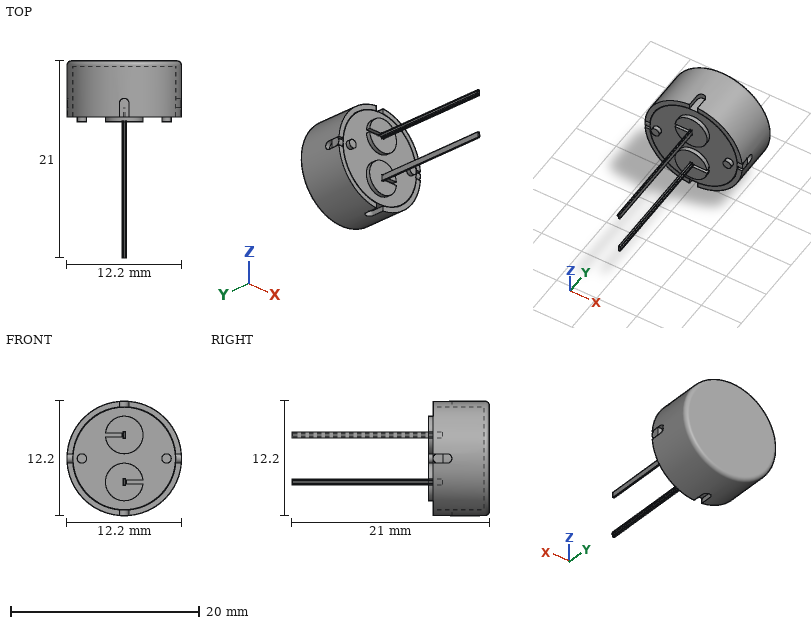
import cadquery as cq


can_radius = 6.1
can_length = 6.0
can_wall = 0.6
can_edge_radius = 0.5
can_bore_radius = can_radius - can_wall

slot_width = 1.0
slot_length = 2.0
slot_angles = (0, 90, 180, 270)

base_gap = 0.05
base_radius = can_bore_radius - base_gap
base_depth = can_length - can_wall

lug_length = 1.05
lug_angles = (0, 180)

foot_height = 0.5
peg_radius = 0.5
peg_offset = 4.5
pad_radius = 2.0
pad_groove_width = 0.4

pin_offset = 2.5
pin_thickness = 0.2
pin_width = 0.65
pin_length = 15.0
pin_embed = 1.0
pin_clearance = 0.05
rib_height = 0.13
rib_root_width = 0.38
rib_tip_width = 0.25
rib_end_chamfer = 0.1

pins_layout = ((pin_offset, -1), (-pin_offset, 1))


def disc(radius, y_start, y_end, x=0, z=0):
    """Cylinder along Y between two Y positions, with its seam at the top."""
    axis_up = cq.Plane(origin=(x, y_start, z), xDir=(0, 0, 1), normal=(0, 1, 0))
    return cq.Workplane(axis_up).circle(radius).extrude(y_end - y_start)


def box(x_range, y_range, z_range):
    """Box between two limits on each axis."""
    size = [high - low for low, high in (x_range, y_range, z_range)]
    corner = (x_range[0], y_range[0], z_range[0])
    return cq.Workplane("XY").box(*size, centered=False).translate(corner)


def around_axis(shape, angle):
    """Turn a shape about the capsule axis."""
    return shape.rotate((0, 0, 0), (0, 1, 0), angle)


def arch_bar(open_y, round_center_y, tip_y):
    """Bar from the axis to past the can on the +X side: square at one end, round at the other."""
    half_width = slot_width / 2
    return (
        cq.Workplane("YZ")
        .moveTo(open_y, -half_width)
        .lineTo(round_center_y, -half_width)
        .threePointArc((tip_y, 0), (round_center_y, half_width))
        .lineTo(open_y, half_width)
        .close()
        .extrude(2 * can_radius)
    )


def make_can():
    can = disc(can_radius, 0, can_length).faces(">Y").edges().fillet(can_edge_radius)
    can = can.cut(disc(can_bore_radius, 0, base_depth))
    slot = arch_bar(0, slot_length - slot_width / 2, slot_length)
    for angle in slot_angles:
        can = can.cut(around_axis(slot, angle))
    return can


def make_lug():
    """Lug on the +X side with a round end at the face, flush with the outside of the can."""
    bar = arch_bar(lug_length, slot_width / 2, 0)
    ring = disc(can_radius, 0, lug_length).cut(disc(base_radius, 0, lug_length))
    return bar.intersect(ring)


def make_pad(z, side):
    """Round foot with a groove from its pin to its rim."""
    pad = disc(pad_radius, -foot_height, 0, z=z)
    groove_x = sorted((0, side * pad_radius))
    half_groove = pad_groove_width / 2
    groove = box(groove_x, (-foot_height, 0), (z - half_groove, z + half_groove))
    return pad.cut(groove)


def make_pin_hole(z):
    """Hole that is loose around the pin through the pad and ends at the base face."""
    half_x = pin_thickness / 2 + pin_clearance
    half_z = pin_width / 2 + pin_clearance
    return box((-half_x, half_x), (-foot_height, 0), (z - half_z, z + half_z))


def make_pin(z, side):
    """Flat pin with a tapered rib along one side, sunk into the base."""
    half_x = pin_thickness / 2
    half_z = pin_width / 2
    blade = box((-half_x, half_x), (-pin_length, pin_embed), (z - half_z, z + half_z))
    root_x = side * half_x
    tip_x = side * (half_x + rib_height)
    rib = (
        cq.Workplane("XZ")
        .polyline([
            (root_x, z - rib_root_width / 2),
            (tip_x, z - rib_tip_width / 2),
            (tip_x, z + rib_tip_width / 2),
            (root_x, z + rib_root_width / 2),
        ])
        .close()
        .extrude(pin_length)
    )
    rib = rib.faces("<Y").edges("not |Z").chamfer(rib_end_chamfer)
    return blade.union(rib)


def make_base(pins):
    base = disc(base_radius, 0, base_depth)
    for angle in lug_angles:
        base = base.union(around_axis(make_lug(), angle))
    for x in (-peg_offset, peg_offset):
        base = base.union(disc(peg_radius, -foot_height, 0, x=x))
    for z, side in pins_layout:
        base = base.union(make_pad(z, side)).cut(make_pin_hole(z))
    for pin in pins:
        base = base.cut(pin)
    return base


can = make_can()
pins = [make_pin(z, side) for z, side in pins_layout]
base = make_base(pins)

result = cq.Compound.makeCompound([can.val(), base.val(), *[pin.val() for pin in pins]])